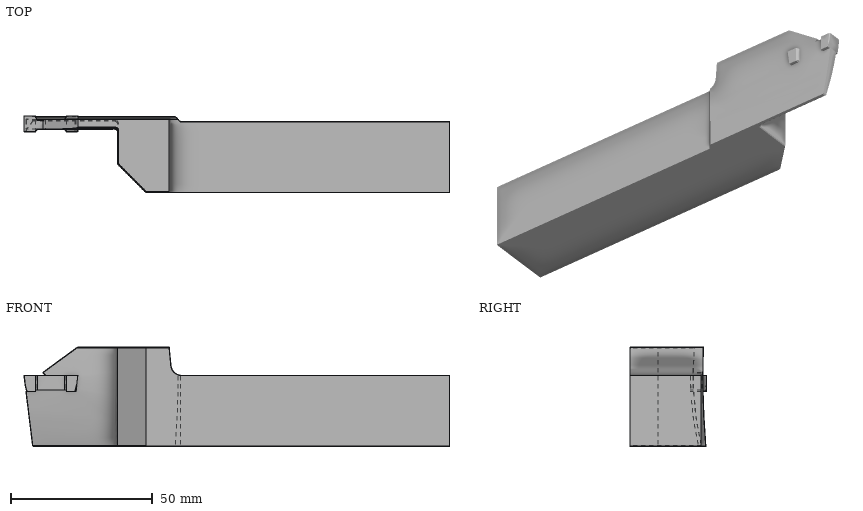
import cadquery as cq
import math


tool_length = 150.0
shank_width = 25.0
shank_height = 25.0
head_height = 35.0
head_end_x = 51.2
head_step_radius = 3.8
head_rear_angle = 5.5
head_wall_x = 33.0
head_corner_chamfer = 10.0
head_edge_break = 0.3
head_base_end_x = 52.7
head_base_ramp = 2.4
relief_angle = 7.0

blade_mid_z = shank_height
blade_front_y = 22.3
blade_front_radius = 108.0
blade_back_y = 25.75
blade_back_radius = 300.0
blade_root_fillet = 1.0
clamp_nose_x = 6.8
clamp_nose_height = 1.1
clamp_nose_undercut = 0.8
clamp_slope_end_x = 19.0

insert_length = 19.0
insert_height = 5.6
insert_front_y = 21.4
insert_back_y = 27.05
insert_head_length = 4.0
insert_taper_length = 0.7
insert_corner_radius = 0.3
insert_land_height = 3.6
secondary_relief_angle = 15.0
neck_front_y = 22.25
neck_back_y = 25.45
neck_bottom_rise = 0.4

clearance = 5.0
relief_slope = math.tan(math.radians(relief_angle))


def arc_face_y(face_y, radius, z):
    """Y of an arc face at height z."""
    offset = z - blade_mid_z
    return face_y + radius - math.sqrt(radius**2 - offset**2)


def arc_slab(face_y, radius, near_y, length):
    """Bar along X from x = 0, flat at near_y and bounded by an arc face on the +Y side."""
    low = -clearance
    high = head_height + clearance
    return (
        cq.Workplane("YZ")
        .moveTo(near_y, low)
        .lineTo(arc_face_y(face_y, radius, low), low)
        .threePointArc((face_y, blade_mid_z), (arc_face_y(face_y, radius, high), high))
        .lineTo(near_y, high)
        .close()
        .extrude(length)
    )


def make_side_profile():
    """Holder outline in XZ, extruded over the full width."""
    step_height = head_height - shank_height
    step_x = head_end_x + step_height * math.tan(math.radians(head_rear_angle))
    profile = (
        cq.Workplane("XZ")
        .moveTo(shank_height * relief_slope, 0)
        .lineTo(tool_length, 0)
        .lineTo(tool_length, shank_height)
        .lineTo(step_x, shank_height)
        .lineTo(head_end_x, head_height)
        .lineTo(clamp_slope_end_x, head_height)
        .lineTo(clamp_nose_x, shank_height + clamp_nose_height)
        .lineTo(clamp_nose_x, shank_height + clamp_nose_undercut)
        .lineTo(clamp_nose_x + clamp_nose_undercut, shank_height)
        .lineTo(0, shank_height)
        .close()
        .extrude(-(insert_back_y + clearance))
    )
    step_corner = cq.selectors.NearestToPointSelector((step_x, insert_back_y / 2, shank_height))
    return profile.edges(step_corner).fillet(head_step_radius)


def make_plan():
    """Material allowed on the +Y side: the shank, and the head with its arc back face."""
    shank = cq.Workplane("XY").box(tool_length, shank_width, head_height, centered=False)
    head_plan = (
        cq.Workplane("XY")
        .moveTo(0, 0)
        .lineTo(head_base_end_x + head_base_ramp, 0)
        .lineTo(head_base_end_x + head_base_ramp, shank_width)
        .lineTo(head_base_end_x, shank_width + head_base_ramp)
        .lineTo(0, shank_width + head_base_ramp)
        .close()
        .extrude(head_height)
    )
    head = head_plan.intersect(arc_slab(blade_back_y, blade_back_radius, 0, tool_length))
    return shank.union(head)


def make_blade_clearance():
    """Space in front of the blade, with the root fillet and the chamfered head corner."""
    space = arc_slab(blade_front_y, blade_front_radius, -clearance, head_wall_x)
    root = cq.selectors.NearestToPointSelector((head_wall_x, blade_front_y, blade_mid_z))
    space = space.edges(root).fillet(blade_root_fillet)
    corner = (
        cq.Workplane("XY", origin=(0, 0, -clearance))
        .moveTo(head_wall_x, head_corner_chamfer)
        .lineTo(head_wall_x + head_corner_chamfer, 0)
        .lineTo(head_wall_x, 0)
        .close()
        .extrude(head_height + 2 * clearance)
    )
    return space.union(corner)


def make_insert_blank():
    """Insert with sharp ends relieved towards the underside; its pocket has this shape."""
    bottom_inset = insert_height * relief_slope
    bottom_z = shank_height - insert_height
    side = (
        cq.Workplane("XZ")
        .moveTo(0, shank_height)
        .lineTo(insert_length, shank_height)
        .lineTo(insert_length - bottom_inset, bottom_z)
        .lineTo(bottom_inset, bottom_z)
        .close()
        .extrude(-insert_back_y)
    )
    neck_start = insert_head_length + insert_taper_length
    corners = [
        (0, insert_front_y),
        (insert_head_length, insert_front_y),
        (neck_start, neck_front_y),
        (insert_length - neck_start, neck_front_y),
        (insert_length - insert_head_length, insert_front_y),
        (insert_length, insert_front_y),
        (insert_length, insert_back_y),
        (insert_length - insert_head_length, insert_back_y),
        (insert_length - neck_start, neck_back_y),
        (neck_start, neck_back_y),
        (insert_head_length, insert_back_y),
        (0, insert_back_y),
    ]
    plan = cq.Workplane("XY").polyline(corners).close().extrude(head_height)
    neck_length = insert_length - 2 * insert_head_length
    neck_relief = cq.Workplane("XY", origin=(insert_head_length, 0, bottom_z)).box(
        neck_length, insert_back_y, neck_bottom_rise, centered=False
    )
    return side.intersect(plan).cut(neck_relief)


def make_end_relief():
    """Wedge below the land of the insert's front end."""
    bottom_z = shank_height - insert_height
    land_z = shank_height - insert_land_height
    land_inset = insert_land_height * relief_slope
    secondary_slope = math.tan(math.radians(secondary_relief_angle))
    return (
        cq.Workplane("XZ")
        .moveTo(0, land_z)
        .lineTo(land_inset, land_z)
        .lineTo(land_inset + (land_z - bottom_z) * secondary_slope, bottom_z)
        .lineTo(0, bottom_z)
        .close()
        .extrude(-insert_back_y)
    )


def make_insert(blank):
    """Insert with rounded corners and a secondary relief at both ends."""
    rounded = blank
    for x in (0, insert_length):
        for y in (insert_front_y, insert_back_y):
            corner = cq.selectors.NearestToPointSelector((x, y, shank_height - insert_height / 2))
            rounded = rounded.edges(corner).fillet(insert_corner_radius)
    front_relief = make_end_relief()
    middle = (insert_length / 2, 0, 0)
    rear_relief = front_relief.mirror("YZ", middle)
    return rounded.cut(front_relief).cut(rear_relief)


def make_holder(insert_blank):
    """Shank, head and blade in one piece, with the insert's pocket."""
    body = make_side_profile().intersect(make_plan()).cut(make_blade_clearance())
    body = body.faces(">Z").edges("not (>X or >Y or <X)").chamfer(head_edge_break)
    base_edges = cq.selectors.BoxSelector(
        (0, head_edge_break, -head_edge_break),
        (
            head_wall_x + head_corner_chamfer,
            arc_face_y(blade_back_y, blade_back_radius, 0) - head_edge_break,
            head_edge_break,
        ),
    )
    body = body.edges(base_edges).chamfer(head_edge_break)
    return body.cut(insert_blank)


sharp_insert = make_insert_blank()
insert = make_insert(sharp_insert)
holder = make_holder(sharp_insert)

result = cq.Compound.makeCompound([holder.val(), insert.val()])